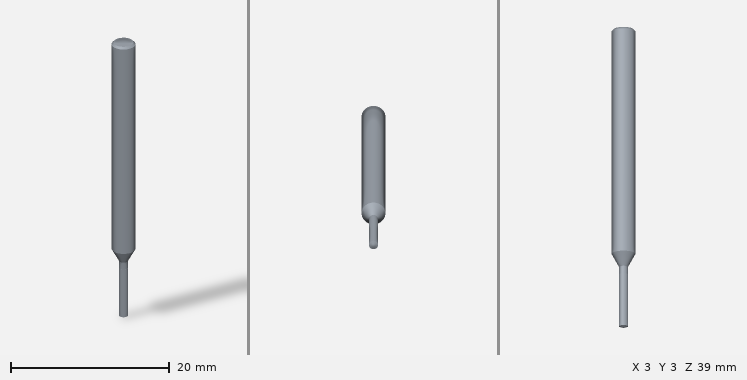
import cadquery as cq

total_length = 39.0

shank_radius = 3.0 / 2
shank_chamfer = 0.255
shoulder_z = 9.7
taper_end_z = 8.0
neck_radius = 1.15 / 2

cutter_radius = 0.6
cutter_top_z = 7.02
point_height = 0.25


def make_shank():
    """Shank, taper and neck revolved in one piece about Z."""
    return (
        cq.Workplane("XZ")
        .moveTo(0, cutter_top_z)
        .lineTo(neck_radius, cutter_top_z)
        .lineTo(neck_radius, taper_end_z)
        .lineTo(shank_radius, shoulder_z)
        .lineTo(shank_radius, total_length - shank_chamfer)
        .lineTo(shank_radius - shank_chamfer, total_length)
        .lineTo(0, total_length)
        .close()
        .revolve(360, (0, 0), (0, 1))
    )


def make_cutter():
    """Cutting rod that meets the neck face and ends in a shallow cone."""
    return (
        cq.Workplane("XZ")
        .moveTo(0, 0)
        .lineTo(cutter_radius, point_height)
        .lineTo(cutter_radius, cutter_top_z)
        .lineTo(0, cutter_top_z)
        .close()
        .revolve(360, (0, 0), (0, 1))
    )


shank = make_shank()
cutter = make_cutter()

result = cq.Compound.makeCompound([shank.val(), cutter.val()])